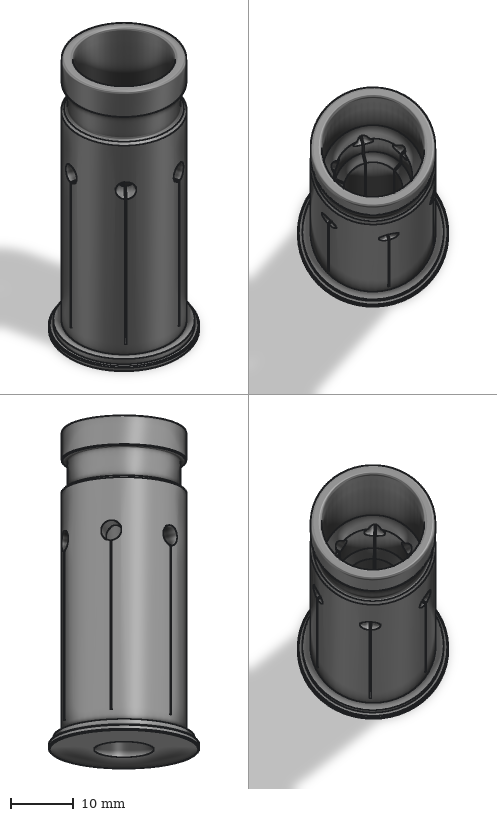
import cadquery as cq
import math

TOTAL_HEIGHT = 52.5
FLANGE_TOP = 1.0
RING_TOP = 2.0
BODY_TOP = 42.6
COLLAR_BOTTOM = 47.5

FLANGE_DIAMETER = 24.0
RING_DIAMETER = 22.5
BODY_DIAMETER = 20.0
NECK_DIAMETER = 18.0
COLLAR_DIAMETER = 19.9

CLAMP_BORE_DIAMETER = 9.53
RELIEF_BORE_DIAMETER = 12.5
SOCKET_DIAMETER = 16.3
CLAMP_BORE_TOP = 26.0
CONE_SLOPE = math.radians(30)
RELIEF_BORE_TOP = 34.8

FLANGE_CHAMFER = 0.2
BODY_CHAMFER = 0.45
NECK_ROOT_RADIUS = 0.5
COLLAR_LOWER_CHAMFER = 0.15
NECK_TOP_RADIUS = 0.15
COLLAR_UPPER_RADIUS = 0.5
SOCKET_EDGE_RADIUS = 0.5

SLIT_COUNT = 6
FIRST_SLIT_ANGLE = 30.0
SLIT_WIDTH = 0.3
SLIT_BOTTOM = 4.0
HOLE_DIAMETER = 3.3
HOLE_HEIGHT = 33.5


def cylinder(diameter, bottom, top):
    """Cylinder on the Z axis between two levels."""
    return cq.Workplane("XY").workplane(offset=bottom).circle(diameter / 2).extrude(top - bottom)


def make_outside():
    """Solid sleeve with its foot flange, grooved neck and top collar."""
    flange = cylinder(FLANGE_DIAMETER, 0, FLANGE_TOP).edges().chamfer(FLANGE_CHAMFER)
    ring = cylinder(RING_DIAMETER, 0, RING_TOP)
    body = cylinder(BODY_DIAMETER, 0, BODY_TOP).edges(">Z").chamfer(BODY_CHAMFER)
    collar = cylinder(COLLAR_DIAMETER, COLLAR_BOTTOM, TOTAL_HEIGHT)
    collar = collar.edges(">Z").fillet(COLLAR_UPPER_RADIUS)
    collar = collar.edges("<Z").chamfer(COLLAR_LOWER_CHAMFER)
    return flange.union(ring).union(body).union(make_neck()).union(collar)


def make_neck():
    """Neck between body and collar, flared by a concave round at each end."""
    radius = NECK_DIAMETER / 2
    profile = (
        cq.Workplane("XZ")
        .moveTo(0, BODY_TOP)
        .lineTo(radius + NECK_ROOT_RADIUS, BODY_TOP)
        .radiusArc((radius, BODY_TOP + NECK_ROOT_RADIUS), NECK_ROOT_RADIUS)
        .lineTo(radius, COLLAR_BOTTOM - NECK_TOP_RADIUS)
        .radiusArc((radius + NECK_TOP_RADIUS, COLLAR_BOTTOM), NECK_TOP_RADIUS)
        .lineTo(0, COLLAR_BOTTOM)
        .close()
    )
    return profile.revolve(360, (0, 0, 0), (0, 1, 0))


def make_bore():
    """Stepped through bore with a rounded mouth."""
    clamp_radius = CLAMP_BORE_DIAMETER / 2
    relief_radius = RELIEF_BORE_DIAMETER / 2
    socket_radius = SOCKET_DIAMETER / 2
    lower_cone_top = CLAMP_BORE_TOP + (relief_radius - clamp_radius) * math.tan(CONE_SLOPE)
    upper_cone_top = RELIEF_BORE_TOP + (socket_radius - relief_radius) * math.tan(CONE_SLOPE)
    mouth = SOCKET_EDGE_RADIUS
    profile = (
        cq.Workplane("XZ")
        .lineTo(clamp_radius, 0)
        .lineTo(clamp_radius, CLAMP_BORE_TOP)
        .lineTo(relief_radius, lower_cone_top)
        .lineTo(relief_radius, RELIEF_BORE_TOP)
        .lineTo(socket_radius, upper_cone_top)
        .lineTo(socket_radius, TOTAL_HEIGHT - mouth)
        .radiusArc((socket_radius + mouth, TOTAL_HEIGHT), mouth)
        .lineTo(0, TOTAL_HEIGHT)
        .close()
    )
    return profile.revolve(360, (0, 0, 0), (0, 1, 0))


def make_slit():
    """Radial cutter along +X: a thin slit with a round hole at its upper end."""
    reach = BODY_DIAMETER / 2 + 1
    slit_height = HOLE_HEIGHT - SLIT_BOTTOM
    slit = cq.Workplane("XY").box(reach, SLIT_WIDTH, slit_height, centered=(False, True, False))
    hole = cq.Workplane("YZ").center(0, HOLE_HEIGHT).circle(HOLE_DIAMETER / 2).extrude(reach)
    return slit.translate((0, 0, SLIT_BOTTOM)).union(hole)


result = make_outside().cut(make_bore())
slit_cutter = make_slit()
for index in range(SLIT_COUNT):
    angle = FIRST_SLIT_ANGLE + index * 360 / SLIT_COUNT
    result = result.cut(slit_cutter.rotate((0, 0, 0), (0, 0, 1), angle))